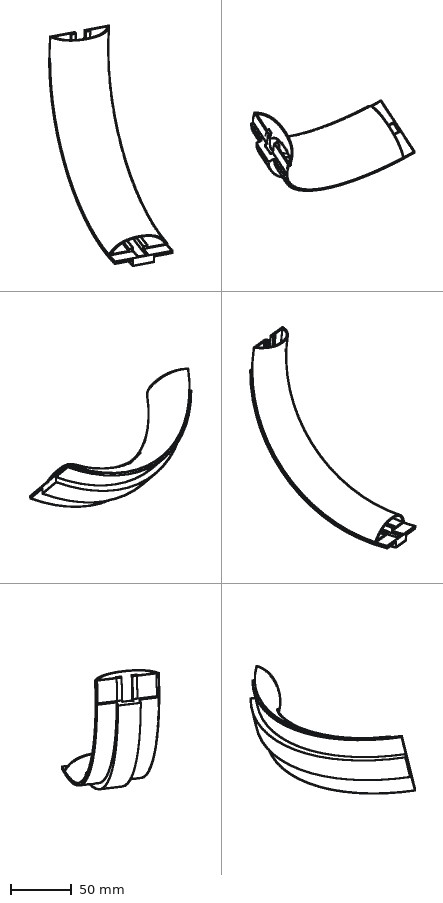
import cadquery as cq
import math

overall_height = 161.0
base_radius = 133.4
tube_width = 53.8
crown_height = 13.4
shoulder_rise = 0.67
shoulder_spread = 0.69
wall = 0.8
edge_width = 2.0
tube_start = 9.0
tube_sweep = 90.0

flange_thickness = 2.1
flange_width = 52.2
rib_width = 19.2
strip_start = 0.0
strip_end = -85.7

slot_width = 9.2
slot_end_wall = 0.5
rail_outer_width = 17.0
rail_height = 2.5

flange_radius = base_radius + flange_thickness
tube_top = base_radius * math.sin(math.radians(tube_start))
rib_radius = (overall_height - tube_top) / math.sin(math.radians(-strip_end))
floor_inner_radius = base_radius - wall
rail_radius = base_radius - rail_height


def turn(profile, start, sweep):
    """Turn a section at the -X side downwards about Y, beginning at the start angle."""
    return profile.revolve(sweep, (0, 0), (0, -1)).rotate((0, 0, 0), (0, 1, 0), start)


def band(inner, outer, width, start, end):
    """Curved strip of rectangular section."""
    middle = (inner + outer) / 2
    section = cq.Workplane("XY").moveTo(-middle, 0).rect(outer - inner, width)
    return turn(section, start, start - end)


def arched_bend(floor_radius, height, width):
    """Curved bar with a flat floor and an arched crown that meets the floor at a sharp edge."""
    shoulder_x = -floor_radius + shoulder_rise * height
    shoulder_y = shoulder_spread * width / 2
    arch = [
        (shoulder_x, -shoulder_y),
        (-floor_radius + height, 0),
        (shoulder_x, shoulder_y),
        (-floor_radius, width / 2),
    ]
    section = cq.Workplane("XY").moveTo(-floor_radius, -width / 2).spline(arch, includeCurrent=True).close()
    return turn(section, tube_start, tube_sweep)


tube_end = tube_start - tube_sweep
bore = arched_bend(floor_inner_radius, crown_height - 2 * wall, tube_width - 2 * edge_width)
tube = arched_bend(base_radius, crown_height, tube_width).cut(bore)

rails = band(rail_radius, base_radius, rail_outer_width, tube_start, tube_end)
flange = band(base_radius, flange_radius, flange_width, strip_start, strip_end)
rib = band(flange_radius, rib_radius, rib_width, strip_start, strip_end)

slot = band(rail_radius, flange_radius, slot_width, tube_start, strip_end + slot_end_wall)

result = tube.union(rails).union(flange).union(rib).cut(slot)